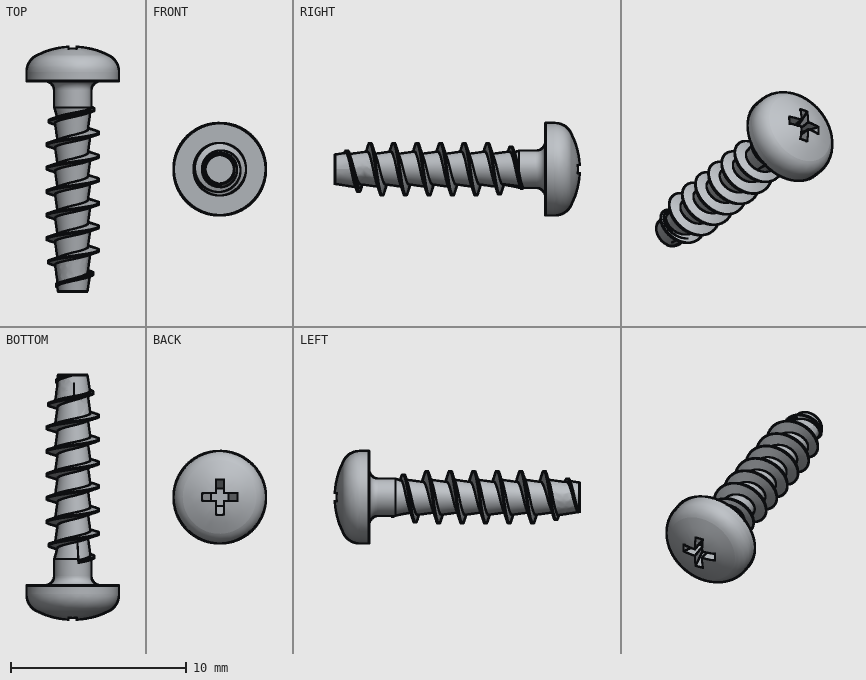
import math

import cadquery as cq


head_radius = 2.65
head_height = 1.99
head_rim_top = 0.53
head_dome_base = 1.465
head_dome_base_radius = 2.1
head_edge_chamfer = 0.04

recess_radius = 1.06
recess_wing_width = 0.46
recess_depth = 1.1
recess_floor_radius = 0.5

shank_radius = 1.075
shank_end = -1.5
neck_fillet = 0.5
tip_end = -12.0
tip_radius = 0.85
tip_chamfer = 0.045
tip_taper_length = 1.45

pitch = 1.34
first_crest = -1.6
thread_radius = 1.5
crest_flat = 0.07
flank_slope = 0.28
start_turn = -0.2
start_radius = 1.19
full_from_turn = 1.0
full_to_turn = 6.3
end_turn = (first_crest - tip_end) / pitch
end_radius = 0.84
points_per_turn = 12

core_wide_radius = 1.025
core_narrow_radius = 0.86
thread_foot_radius = 0.7

entry_radius = 1.05
entry_from = 0.0
entry_full_turn = 0.5
entry_to = 0.8

cutter_radius = 1.3
foot_overlap = 0.5


def crest_y(turn):
    return first_crest - pitch * turn


def blend(turn, turn_a, radius_a, turn_b, radius_b):
    """Radius that changes evenly from one turn position to another."""
    return radius_a + (radius_b - radius_a) * (turn - turn_a) / (turn_b - turn_a)


def crest_radius(turn):
    """Radius of the thread crest, which fades in at the shank and out at the tip."""
    if turn < full_from_turn:
        return blend(turn, start_turn, start_radius, full_from_turn, thread_radius)
    if turn > full_to_turn:
        return blend(turn, full_to_turn, thread_radius, end_turn, end_radius)
    return thread_radius


def half_width(turn, radius):
    """Half the axial width of the thread at a radius."""
    return crest_flat / 2 + max(crest_radius(turn) - radius, 0) * flank_slope


def thread_section(turn):
    """Corners (radius, y) of the trapezoidal thread section."""
    middle = crest_y(turn)
    foot = half_width(turn, thread_foot_radius)
    crest = crest_radius(turn)
    return [
        (thread_foot_radius, middle + foot),
        (crest, middle + crest_flat / 2),
        (crest, middle - crest_flat / 2),
        (thread_foot_radius, middle - foot),
    ]


def groove_lower_y(turn):
    return crest_y(turn) + foot_overlap * half_width(turn, core_narrow_radius)


def groove_upper_y(turn):
    return crest_y(turn - 1) - foot_overlap * half_width(turn - 1, core_wide_radius)


def groove_section(turn):
    """Corners of the groove between one thread turn and the turn above it."""
    upper = groove_upper_y(turn)
    lower = groove_lower_y(turn)
    return [
        (core_wide_radius, upper),
        (cutter_radius, upper),
        (cutter_radius, lower),
        (core_narrow_radius, lower),
    ]


def entry_section(turn):
    """Corners of the first groove, which starts at the end of the plain shank."""
    lower = groove_lower_y(turn)
    floor_radius = core_narrow_radius
    if turn < entry_full_turn:
        floor_radius = blend(turn, entry_from, entry_radius, entry_full_turn, core_narrow_radius)
    return [
        (entry_radius, shank_end),
        (cutter_radius, shank_end),
        (cutter_radius, lower),
        (floor_radius, lower),
    ]


def place(turn, radius, y):
    """Point at a turn position, radius and height along the axis."""
    angle = 2 * math.pi * turn
    return (radius * math.cos(angle), y, radius * math.sin(angle))


def helical_solid(section, turn_a, turn_b):
    """Solid swept by a four-cornered section that may change along the helix."""
    steps = math.ceil((turn_b - turn_a) * points_per_turn)
    turns = [turn_a + (turn_b - turn_a) * i / steps for i in range(steps + 1)]

    def corner_edge(index):
        points = [cq.Vector(*place(turn, *section(turn)[index])) for turn in turns]
        return cq.Edge.makeSpline(points)

    edges = [corner_edge(i) for i in range(len(section(turn_a)))]
    next_edges = edges[1:] + edges[:1]
    faces = [cq.Face.makeRuledSurface(edge, other) for edge, other in zip(edges, next_edges)]
    for turn in (turn_a, turn_b):
        corners = [cq.Vector(*place(turn, *corner)) for corner in section(turn)]
        faces.append(cq.Face.makeFromWires(cq.Wire.makePolygon(corners, close=True)))
    solid = cq.Solid.makeSolid(cq.Shell.makeShell(faces))
    return cq.Workplane(solid.fix())


def revolve_about_y(outline):
    return outline.close().revolve(360, (0, 0, 0), (0, 1, 0))


def make_blank():
    """Head, neck and plain core as one turned body."""
    dome_rise = head_height - head_dome_base
    dome_radius = (head_dome_base_radius**2 + dome_rise**2) / (2 * dome_rise)
    half_angle = math.asin(head_dome_base_radius / dome_radius) / 2
    dome_middle = (
        dome_radius * math.sin(half_angle),
        head_height - dome_radius * (1 - math.cos(half_angle)),
    )
    fillet_inset = neck_fillet * (1 - math.sqrt(0.5))
    outline = (
        cq.Workplane("XY")
        .moveTo(0, tip_end)
        .lineTo(tip_radius - tip_chamfer, tip_end)
        .lineTo(tip_radius, tip_end + tip_chamfer)
        .lineTo(shank_radius, tip_end + tip_taper_length)
        .lineTo(shank_radius, -neck_fillet)
        .threePointArc(
            (shank_radius + fillet_inset, -fillet_inset), (shank_radius + neck_fillet, 0)
        )
        .lineTo(head_radius - head_edge_chamfer, 0)
        .lineTo(head_radius, head_edge_chamfer)
        .lineTo(head_radius, head_rim_top)
        .tangentArcPoint((head_dome_base_radius, head_dome_base), relative=False)
        .threePointArc(dome_middle, (0, head_height))
    )
    return revolve_about_y(outline)


def make_recess():
    """Two crossing wings that narrow towards the recess floor."""
    floor = head_height - recess_depth
    wing = (
        cq.Workplane("XY")
        .polyline(
            [
                (-recess_radius, head_height),
                (recess_radius, head_height),
                (recess_floor_radius, floor),
                (-recess_floor_radius, floor),
            ]
        )
        .close()
        .extrude(recess_wing_width / 2, both=True)
    )
    return wing.union(wing.rotate((0, 0, 0), (0, 1, 0), 90))


def make_core():
    """Turned body with the recess and the helical grooves cut, still without the thread."""
    core = make_blank().cut(make_recess())
    core = core.cut(helical_solid(entry_section, entry_from, entry_to), clean=False)
    return core.cut(helical_solid(groove_section, entry_to, end_turn), clean=False)


def make_thread():
    """Fade-in, full and fade-out stretches of the thread, joined end to end."""
    thread = helical_solid(thread_section, start_turn, full_from_turn)
    thread = thread.union(helical_solid(thread_section, full_from_turn, full_to_turn), clean=False)
    return thread.union(helical_solid(thread_section, full_to_turn, end_turn), clean=False)


def trim_to_tip(body):
    """Remove what reaches below the flat end of the tip."""
    box = 4 * thread_radius
    below = cq.Workplane("XZ", origin=(0, tip_end, 0)).rect(box, box).extrude(box)
    return body.cut(below)


result = trim_to_tip(make_core().union(make_thread(), clean=False))